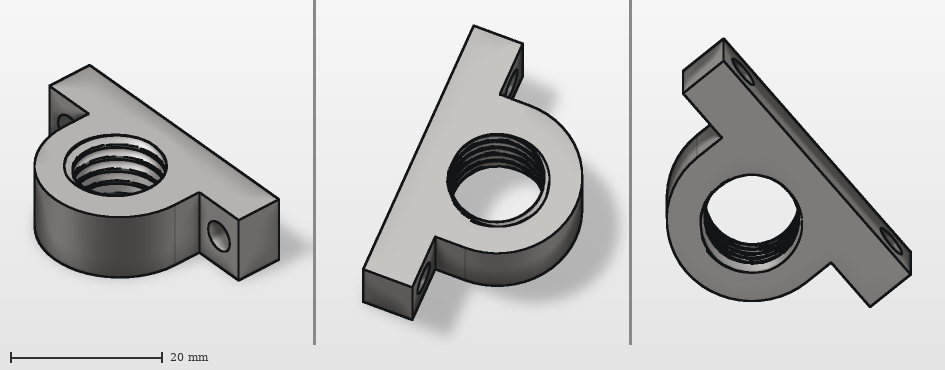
import cadquery as cq
import math

bar_length = 38.5
bar_thickness = 7.0
height = 10.0

boss_radius = 11.25
back_y = boss_radius
bar_front_y = back_y - bar_thickness

screw_diameter = 4.4
screw_spacing = 30.5

bore_radius = 6.25
pitch = 2.0
flank_angle = 30.0
crest_width = pitch / 4
root_width = pitch / 8
flank_steps = 8
top_root_angle = 225.0


def make_body():
    """Bar with a round-nosed boss on its front side, centred in Z."""
    half_length = bar_length / 2
    return (
        cq.Workplane("XY")
        .workplane(offset=-height / 2)
        .moveTo(-half_length, back_y)
        .lineTo(half_length, back_y)
        .lineTo(half_length, bar_front_y)
        .lineTo(boss_radius, bar_front_y)
        .lineTo(boss_radius, 0)
        .threePointArc((0, -boss_radius), (-boss_radius, 0))
        .lineTo(-boss_radius, bar_front_y)
        .lineTo(-half_length, bar_front_y)
        .close()
        .extrude(height)
    )


def make_screw_holes():
    """Two cylinders running along Y through the bar."""
    return (
        cq.Workplane("XZ", origin=(0, back_y, 0))
        .pushPoints([(-screw_spacing / 2, 0), (screw_spacing / 2, 0)])
        .circle(screw_diameter / 2)
        .extrude(bar_thickness)
    )


def polar_point(radius, angle):
    """Point in the XY plane at an angle in degrees."""
    return (radius * math.cos(math.radians(angle)), radius * math.sin(math.radians(angle)))


def make_thread_core():
    """Bore and thread groove as one screw: a constant cross-section twisted along Z.

    A height along the thread profile equals the same share of a turn in the cross-section,
    so crest and root become arcs and the straight flanks become spirals.
    """
    depth = (pitch - crest_width - root_width) / 2 / math.tan(math.radians(flank_angle))
    root_radius = bore_radius + depth
    half_root = 180 * root_width / pitch
    half_groove = 180 * (pitch - crest_width) / pitch

    def flank(side):
        """Spiral from the root (first point) to the crest, on side +1 or -1 of the groove."""
        points = []
        for step in range(flank_steps + 1):
            share = step / flank_steps
            angle = half_root + share * (half_groove - half_root)
            points.append(polar_point(root_radius - share * depth, side * angle))
        return points

    left_flank = flank(1)
    right_flank = flank(-1)[::-1]
    section = (
        cq.Workplane("XY")
        .moveTo(*left_flank[0])
        .spline(left_flank[1:], includeCurrent=True)
        .threePointArc(polar_point(bore_radius, 180), right_flank[0])
        .spline(right_flank[1:], includeCurrent=True)
        .threePointArc(polar_point(root_radius, 0), left_flank[0])
        .close()
    )
    twist = 360 * height / pitch
    return (
        section.twistExtrude(height, twist)
        .rotate((0, 0, 0), (0, 0, 1), top_root_angle - twist)
        .translate((0, 0, -height / 2))
    )


result = make_body().cut(make_screw_holes()).cut(make_thread_core())